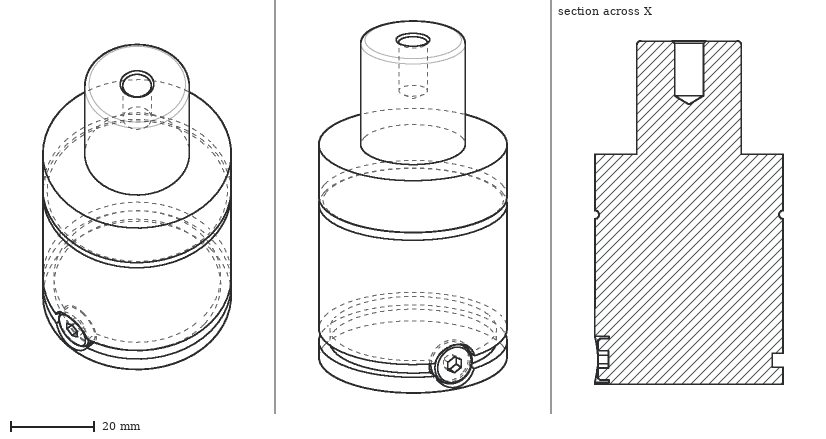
import cadquery as cq
import math

total_height = 82.0
body_diameter = 45.0
body_height = 54.9
rod_diameter = 25.0
rod_edge_radius = 1.0

clamp_groove_bottom = 4.1
clamp_groove_top = 7.4
clamp_groove_diameter = 39.85
round_groove_radius = 1.0
round_groove_height = 40.5

rod_hole_diameter = 6.8
rod_hole_mouth_diameter = 8.0
rod_hole_depth = 13.1
drill_tip_angle = 118.0

plug_height = 6.0
counterbore_diameter = 11.0
counterbore_floor = 19.1
plug_diameter = 10.0
plug_face = 21.7
plug_chamfer = 0.5
hex_across_flats = 3.5
hex_depth = 2.5

body_radius = body_diameter / 2


def plug_plane(distance):
    """Plane facing -Y on the plug axis, at a distance from the body axis."""
    return cq.Workplane("XZ", origin=(0, -distance, plug_height))


def make_body():
    body = cq.Workplane("XY").circle(body_radius).extrude(body_height)
    clamp_groove = (
        cq.Workplane("XY", origin=(0, 0, clamp_groove_bottom))
        .circle(body_diameter)
        .circle(clamp_groove_diameter / 2)
        .extrude(clamp_groove_top - clamp_groove_bottom)
    )
    round_groove = cq.Workplane(
        cq.Solid.makeTorus(body_radius, round_groove_radius, cq.Vector(0, 0, round_groove_height))
    )
    return body.cut(clamp_groove).cut(round_groove)


def make_rod():
    return (
        cq.Workplane("XY")
        .circle(rod_diameter / 2)
        .extrude(total_height)
        .faces(">Z")
        .edges()
        .fillet(rod_edge_radius)
    )


def make_rod_hole():
    """Drilled hole with a 45 degree countersink and a conical bottom."""
    hole_radius = rod_hole_diameter / 2
    mouth_radius = rod_hole_mouth_diameter / 2
    hole_bottom = total_height - rod_hole_depth
    tip_length = hole_radius / math.tan(math.radians(drill_tip_angle / 2))
    profile = [
        (0, total_height),
        (mouth_radius, total_height),
        (hole_radius, total_height - (mouth_radius - hole_radius)),
        (hole_radius, hole_bottom),
        (0, hole_bottom - tip_length),
    ]
    return cq.Workplane("XZ").polyline(profile).close().revolve(360, (0, 0), (0, 1))


def make_counterbore():
    return plug_plane(counterbore_floor).circle(counterbore_diameter / 2).extrude(body_radius)


def make_plug():
    plug = (
        plug_plane(counterbore_floor)
        .circle(plug_diameter / 2)
        .extrude(plug_face - counterbore_floor)
        .faces("<Y")
        .edges()
        .chamfer(plug_chamfer)
    )
    hex_across_corners = hex_across_flats / math.cos(math.radians(30))
    hex_socket = (
        plug_plane(plug_face)
        .transformed(rotate=(0, 0, 90))
        .polygon(6, hex_across_corners)
        .extrude(-hex_depth)
    )
    return plug.cut(hex_socket)


result = make_body().union(make_rod()).cut(make_rod_hole())
result = result.cut(make_counterbore()).union(make_plug())